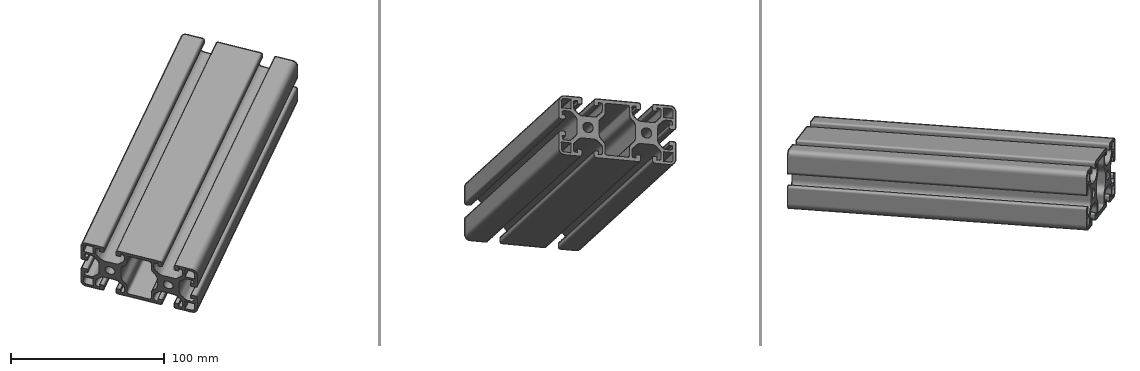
import cadquery as cq
import math

cell = 40.0
length = 200.0
half_cell = cell / 2
width = 2 * cell
corner_radius = 4.0

core_width = 15.0
core_half = core_width / 2
bore_diameter = 6.8

slot_opening = 8.2
slot_half_opening = slot_opening / 2
slot_half_width = 10.0
slot_roof = 2.5
slot_roof_radius = 1.5
lip_width = 3.0
lip_depth = 4.5
lip_outer_radius = 1.5
lip_inner_radius = 1.0
cut_clearance = 2.0

rib_offset = 2.0
core_bend_radius = 5.0
wall_bend_radius = 4.0

inner_wall = 1.5
outer_wall = 1.8
chamber_roof_radius = 1.5

chamber_wall = slot_half_width + inner_wall
cell_centers = (-half_cell, half_cell)


def unit(start, end):
    """Unit vector from start to end."""
    distance = math.dist(start, end)
    return (end[0] - start[0]) / distance, (end[1] - start[1]) / distance


def rounded_prism(corners):
    """Full-length prism from (x, z, radius) corners; radius 0 leaves a corner sharp."""
    steps = []
    for i, (x, z, radius) in enumerate(corners):
        if radius == 0:
            steps.append([(x, z)])
            continue
        back = unit((x, z), corners[i - 1][:2])
        ahead = unit((x, z), corners[(i + 1) % len(corners)][:2])
        half_angle = math.acos(back[0] * ahead[0] + back[1] * ahead[1]) / 2
        tangent = radius / math.tan(half_angle)
        to_arc = radius / math.sin(half_angle) - radius
        bisector = unit((0, 0), (back[0] + ahead[0], back[1] + ahead[1]))
        steps.append([
            (x + tangent * back[0], z + tangent * back[1]),
            (x + to_arc * bisector[0], z + to_arc * bisector[1]),
            (x + tangent * ahead[0], z + tangent * ahead[1]),
        ])
    outline = cq.Workplane("XZ").moveTo(*steps[0][-1])
    for step in steps[1:] + steps[:1]:
        outline = outline.lineTo(*step[0])
        if len(step) > 1:
            outline = outline.threePointArc(step[1], step[2])
    return outline.wire().extrude(length / 2, both=True)


def mirrored(half):
    """Close a half outline by reflecting it across the Z axis."""
    return half + [(-x, z, radius) for x, z, radius in reversed(half)]


def t_slot():
    """Slot opening in +Z, measured from the centre of its cell."""
    clear_of_face = half_cell + cut_clearance
    roof = half_cell - slot_roof
    lip_end = half_cell - lip_depth
    lip_back = slot_half_opening + lip_width
    mouth = slot_half_opening + 2 * lip_outer_radius
    return rounded_prism(mirrored([
        (mouth, clear_of_face, 0),
        (mouth, half_cell, 0),
        (slot_half_opening, half_cell, lip_outer_radius),
        (slot_half_opening, lip_end, lip_inner_radius),
        (lip_back, lip_end, 0),
        (lip_back, roof, 0),
        (slot_half_width, roof, slot_roof_radius),
        (slot_half_width, slot_half_width + rib_offset, wall_bend_radius),
        (core_half - rib_offset, core_half, core_bend_radius),
    ]))


def center_chamber():
    """Large chamber between the two cores."""
    wall = half_cell - chamber_wall
    core_face = half_cell - core_half
    roof = half_cell - slot_roof
    upper_right = [
        (wall, roof, chamber_roof_radius),
        (wall, chamber_wall - rib_offset, wall_bend_radius),
        (core_face, core_half - rib_offset, core_bend_radius),
    ]
    lower_right = [(x, -z, radius) for x, z, radius in reversed(upper_right)]
    return rounded_prism(mirrored(upper_right + lower_right))


def corner_chamber(side_x, side_z):
    """Small chamber in one outer corner; each side is -1 or 1."""
    inner_x = side_x * (half_cell + chamber_wall)
    outer_x = side_x * (width / 2 - outer_wall)
    inner_z = side_z * chamber_wall
    outer_z = side_z * (half_cell - outer_wall)
    return rounded_prism([
        (inner_x, inner_z, 0),
        (outer_x, inner_z, 0),
        (outer_x, outer_z, corner_radius - outer_wall),
        (inner_x, outer_z, 0),
    ])


result = cq.Workplane("XY").box(width, length, cell).edges("|Y").fillet(corner_radius)

slot = t_slot()
for center_x in cell_centers:
    outward = math.copysign(90, center_x)
    for angle in (0, 180, outward):
        turned = slot.rotate((0, 0, 0), (0, 1, 0), angle)
        result = result.cut(turned.translate((center_x, 0, 0)))
    bore = cq.Workplane("XZ").center(center_x, 0).circle(bore_diameter / 2)
    result = result.cut(bore.extrude(length / 2, both=True))

result = result.cut(center_chamber())
for side_x in (-1, 1):
    for side_z in (-1, 1):
        result = result.cut(corner_chamber(side_x, side_z))